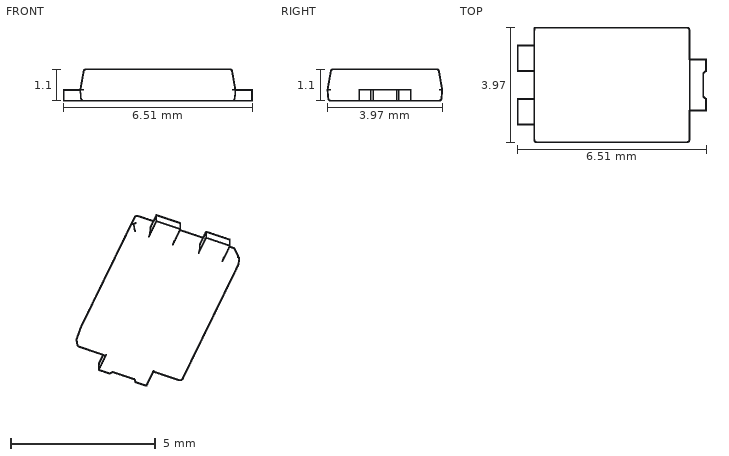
import cadquery as cq
import math

OVERALL_LENGTH = 6.51
BODY_WIDTH = 3.97
BODY_HEIGHT = 1.1
LEAD_REACH = 0.57
BODY_LENGTH = OVERALL_LENGTH - 2 * LEAD_REACH

PARTING_HEIGHT = 0.38
UPPER_DRAFT = 10.0
LOWER_DRAFT = 5.0
EDGE_RADIUS = 0.1
ROUNDED_LOWER_CORNERS = ">X or <Y"

LEAD_THICKNESS = PARTING_HEIGHT
LEAD_EMBED = 0.325
SMALL_LEAD_WIDTH = 0.89
SMALL_LEAD_PITCH = 1.85
WIDE_LEAD_WIDTH = 1.78
NOTCH_DEPTH = 0.1
NOTCH_MOUTH_WIDTH = 0.965
NOTCH_FLOOR_WIDTH = 0.81


def drafted_block(height, draft):
    """Block tapering away from the parting plane; negative height goes down."""
    return (
        cq.Workplane("XY")
        .workplane(offset=PARTING_HEIGHT)
        .rect(BODY_LENGTH, BODY_WIDTH)
        .extrude(height, taper=draft)
    )


def make_upper_half():
    """Upper half with rounded corners and top rim."""
    half = drafted_block(BODY_HEIGHT - PARTING_HEIGHT, UPPER_DRAFT)
    return half.edges("not(#Z)").fillet(EDGE_RADIUS).faces(">Z").edges().fillet(EDGE_RADIUS)


def make_lower_half():
    """Lower half with a rounded bottom rim; its -X+Y corner is trimmed by the upper rounding."""
    half = drafted_block(-PARTING_HEIGHT, LOWER_DRAFT)
    half = half.edges("not(#Z)").edges(ROUNDED_LOWER_CORNERS).fillet(EDGE_RADIUS)
    half = half.faces("<Z").edges().fillet(EDGE_RADIUS)
    flare = 2 * PARTING_HEIGHT * math.tan(math.radians(UPPER_DRAFT))
    upper_continued = (
        cq.Workplane("XY")
        .rect(BODY_LENGTH + flare, BODY_WIDTH + flare)
        .extrude(PARTING_HEIGHT, taper=UPPER_DRAFT)
        .edges("not(#Z)")
        .fillet(EDGE_RADIUS)
    )
    return half.intersect(upper_continued)


def make_lead(side, y_center, width):
    """Flat lead reaching out of the body; side is -1 for -X and +1 for +X."""
    length = LEAD_REACH + LEAD_EMBED
    x_center = side * (OVERALL_LENGTH - length) / 2
    return (
        cq.Workplane("XY")
        .center(x_center, y_center)
        .rect(length, width)
        .extrude(LEAD_THICKNESS)
    )


def make_notch():
    """Flared notch in the tip of the wide lead."""
    tip = OVERALL_LENGTH / 2
    floor = tip - NOTCH_DEPTH
    return (
        cq.Workplane("XY")
        .moveTo(tip, -NOTCH_MOUTH_WIDTH / 2)
        .lineTo(tip, NOTCH_MOUTH_WIDTH / 2)
        .lineTo(floor, NOTCH_FLOOR_WIDTH / 2)
        .lineTo(floor, -NOTCH_FLOOR_WIDTH / 2)
        .close()
        .extrude(LEAD_THICKNESS)
    )


result = make_upper_half().union(make_lower_half())
for y_sign in (-1, 1):
    result = result.union(make_lead(-1, y_sign * SMALL_LEAD_PITCH / 2, SMALL_LEAD_WIDTH))
result = result.union(make_lead(1, 0, WIDE_LEAD_WIDTH).cut(make_notch()))